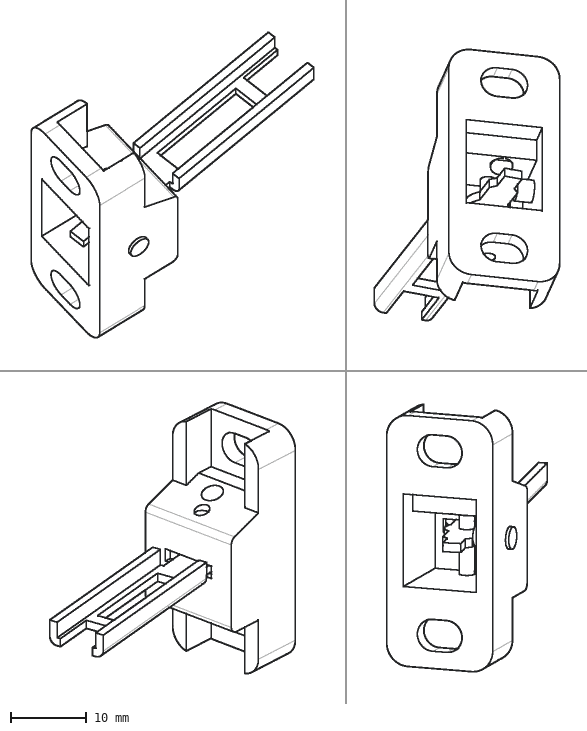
import cadquery as cq
import math

OVERALL_LENGTH = 41.7

WIDTH = 15.0
HEIGHT = 34.0
CORNER_RADIUS = 3.0
BASE_DEPTH = 7.5
FLANGE_THICKNESS = 2.5
CHANNEL_WIDTH = 10.15

NOSE_BACK = 13.0
NOSE_BOTTOM = -8.3
NOSE_FILLET = 1.0
SLOPE_START_Y = 5.0
SLOPE_START_Z = 8.4
SLOPE_ANGLE = 19.4

SLOT_HOLE_LENGTH = 6.3
SLOT_HOLE_DIAMETER = 4.3
SLOT_HOLE_OFFSET = 12.5

POCKET_WIDTH = 10.3
POCKET_BOTTOM = -6.2
MOUTH_DEPTH = 3.5
MOUTH_TOP = 6.35
POCKET_TOP = 3.3
BACK_WALL = 1.0

LEVER_ANGLE = 8.5
LEVER_THICKNESS = 1.2
LEVER_WIDTH = 8.4
RAIL_WIDTH = 1.2
RAIL_TOP = 2.3
RAIL_START = 5.55
SHANK_WIDTH = 5.0
BOSS_RADIUS = 3.0
NECK_WIDTH = 4.0
TAIL_WIDTH = 2.4
TAIL_END = 9.5
TAIL_SHOULDER = 6.65
FRAME_WINDOW_WIDTH = 4.0
FRAME_WINDOW_START = 7.85
FRAME_WINDOW_END = 22.7
FORK_START = 24.7

LEVER_SLOT_WIDTH = 8.0
LEVER_SLOT_TOP = 0.6

PIVOT_Y = 10.25
PIVOT_DIAMETER = 2.05
PIVOT_TOP = 6.0
STOP_DIAMETER = 3.0
STOP_Y = 6.3
STOP_Z = 0.1
STOP_INNER_X = 2.88
STOP_OUTER_X = 7.95
PLUG_DIAMETER = 2.95
PLUG_LENGTH = 5.0
PLUG_X = 0.85
PLUG_Y = 7.15

LEVER_TURN = math.radians(LEVER_ANGLE)
RAIL_END = (OVERALL_LENGTH - PIVOT_Y - LEVER_WIDTH / 2 * math.sin(LEVER_TURN)) / math.cos(LEVER_TURN)


def slope_z(y):
    """Height of the nose's sloping top at depth y."""
    return SLOPE_START_Z - (y - SLOPE_START_Y) * math.tan(math.radians(SLOPE_ANGLE))


def block(x_size, y_range, z_range):
    """Box centred on X = 0 that spans the given Y and Z ranges."""
    y0, y1 = y_range
    z0, z1 = z_range
    base_plane = cq.Workplane("XY", origin=(0, y0, z0))
    return base_plane.box(x_size, y1 - y0, z1 - z0, centered=(True, False, False))


def make_pivot_pin():
    return (
        cq.Workplane("XY", origin=(0, PIVOT_Y, NOSE_BOTTOM))
        .circle(PIVOT_DIAMETER / 2)
        .extrude(PIVOT_TOP - NOSE_BOTTOM)
    )


def make_stop_pin():
    return (
        cq.Workplane("YZ", origin=(STOP_INNER_X, STOP_Y, STOP_Z))
        .circle(STOP_DIAMETER / 2)
        .extrude(STOP_OUTER_X - STOP_INNER_X)
    )


def make_plug():
    """Cylinder square to the sloping top and flush with it."""
    angle = math.radians(SLOPE_ANGLE)
    inward = (0, -math.sin(angle), -math.cos(angle))
    face = cq.Plane(origin=(PLUG_X, PLUG_Y, slope_z(PLUG_Y)), xDir=(1, 0, 0), normal=inward)
    return cq.Workplane(face).circle(PLUG_DIAMETER / 2).extrude(PLUG_LENGTH)


def make_nose():
    """Full-width nose with a sloping top and rounded back edges."""
    profile = [
        (FLANGE_THICKNESS, NOSE_BOTTOM),
        (NOSE_BACK, NOSE_BOTTOM),
        (NOSE_BACK, slope_z(NOSE_BACK)),
        (SLOPE_START_Y, SLOPE_START_Z),
        (FLANGE_THICKNESS, SLOPE_START_Z),
    ]
    nose = cq.Workplane("YZ").polyline(profile).close().extrude(WIDTH / 2, both=True)
    return nose.faces(">Y").edges("|X").fillet(NOSE_FILLET)


def make_housing(fitted_pins):
    base = cq.Workplane("XY").box(WIDTH, BASE_DEPTH, HEIGHT, centered=(True, False, True))
    base = base.edges("|Y").fillet(CORNER_RADIUS)
    channel = block(CHANNEL_WIDTH, (FLANGE_THICKNESS, BASE_DEPTH), (-HEIGHT / 2, HEIGHT / 2))
    housing = base.cut(channel).union(make_nose())

    mounting_slots = (
        cq.Workplane("XZ")
        .pushPoints([(0, SLOT_HOLE_OFFSET), (0, -SLOT_HOLE_OFFSET)])
        .slot2D(SLOT_HOLE_LENGTH, SLOT_HOLE_DIAMETER)
        .extrude(-FLANGE_THICKNESS)
    )
    mouth = block(POCKET_WIDTH, (0, MOUTH_DEPTH), (POCKET_BOTTOM, MOUTH_TOP))
    pocket = block(POCKET_WIDTH, (0, NOSE_BACK - BACK_WALL), (POCKET_BOTTOM, POCKET_TOP))
    lever_slot = block(
        LEVER_SLOT_WIDTH, (NOSE_BACK - BACK_WALL, NOSE_BACK), (-LEVER_THICKNESS, LEVER_SLOT_TOP)
    )
    housing = housing.cut(mounting_slots).cut(mouth).cut(pocket).cut(lever_slot)

    pivot_bore = (
        cq.Workplane("XY", origin=(0, PIVOT_Y, PIVOT_TOP))
        .circle(PIVOT_DIAMETER / 2)
        .extrude(SLOPE_START_Z - PIVOT_TOP)
    )
    housing = housing.cut(pivot_bore)
    for pin in fitted_pins:
        housing = housing.cut(pin)
    return housing


def make_rail():
    """Right-hand rail; its outer bottom edge is a quarter round as tall as the plate."""
    outer = LEVER_WIDTH / 2
    inner = outer - RAIL_WIDTH
    diagonal = RAIL_WIDTH * math.sqrt(0.5)
    return (
        cq.Workplane("XZ", origin=(0, RAIL_START, 0))
        .moveTo(inner, RAIL_TOP)
        .lineTo(inner, -LEVER_THICKNESS)
        .threePointArc((inner + diagonal, -diagonal), (outer, 0))
        .lineTo(outer, RAIL_TOP)
        .close()
        .extrude(RAIL_START - RAIL_END)
    )


def make_lever(pivot_pin):
    """Lever along +Y about its pivot at the origin, then turned and moved to the pivot pin."""
    rail_inner = LEVER_WIDTH / 2 - RAIL_WIDTH
    neck_start = TAIL_SHOULDER - (NECK_WIDTH - TAIL_WIDTH) / 2

    frame = block(2 * rail_inner, (RAIL_START, RAIL_END), (-LEVER_THICKNESS, 0))
    frame_window = block(
        FRAME_WINDOW_WIDTH, (FRAME_WINDOW_START, FRAME_WINDOW_END), (-LEVER_THICKNESS, 0)
    )
    fork_gap = block(SHANK_WIDTH, (FORK_START, RAIL_END), (-LEVER_THICKNESS, 0))
    frame = frame.cut(frame_window).cut(fork_gap)

    shank = block(SHANK_WIDTH, (0, RAIL_START), (-LEVER_THICKNESS, 0))
    boss = cq.Workplane("XY").circle(BOSS_RADIUS).extrude(-LEVER_THICKNESS)
    tail_outline = [
        (NECK_WIDTH / 2, 0),
        (NECK_WIDTH / 2, -neck_start),
        (TAIL_WIDTH / 2, -TAIL_SHOULDER),
        (TAIL_WIDTH / 2, -TAIL_END),
    ]
    mirrored = [(-x, y) for x, y in reversed(tail_outline)]
    tail = cq.Workplane("XY").polyline(tail_outline + mirrored).close().extrude(-LEVER_THICKNESS)

    rail = make_rail()
    lever = frame.union(shank).union(boss).union(tail).union(rail).union(rail.mirror("YZ"))
    lever = lever.rotate((0, 0, 0), (0, 0, 1), LEVER_ANGLE).translate((0, PIVOT_Y, 0))
    return lever.cut(pivot_pin)


pivot_pin = make_pivot_pin()
stop_pin = make_stop_pin()
plug = make_plug()
housing = make_housing([pivot_pin, stop_pin, plug])
lever = make_lever(pivot_pin)

result = cq.Compound.makeCompound(
    [housing.val(), lever.val(), pivot_pin.val(), stop_pin.val(), plug.val()]
)